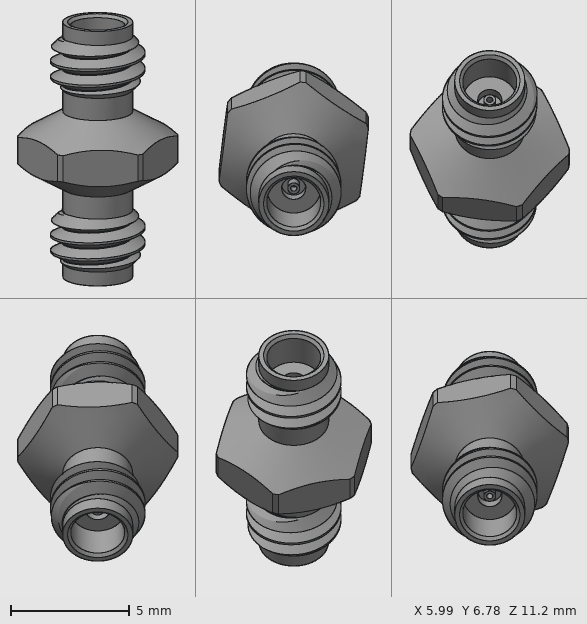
import cadquery as cq
import math

length = 11.18
barrel_radius = 1.481

hex_across_flats = 5.99
hex_corner_radius = 3.39
collar_half_length = 1.68
shoulder_angle = math.radians(30)

thread_pitch = 0.7
thread_crest_radius = 2.0
thread_root_radius = 1.45
thread_crest_width = 0.1
thread_root_width = 0.98 * thread_pitch
thread_length = 2.33
thread_offset = 3.81
thread_turns = 5

socket_radius = 1.14
socket_mouth_chamfer = 0.13
socket_depth = 1.57
contact_recess_diameter = 1.02
contact_diameter = 0.5
contact_hole_diameter = 0.26
contact_depth = 0.45


def revolve_profile(points):
    """Revolve a closed (radius, z) outline about the Z axis."""
    return cq.Workplane("XZ").polyline(points).close().revolve(360, (0, 0), (0, 1))


def make_collar():
    hex_across_corners = hex_across_flats / math.cos(math.radians(30))
    prism = (
        cq.Workplane("XY")
        .polygon(6, hex_across_corners)
        .extrude(collar_half_length, both=True)
        .rotate((0, 0, 0), (0, 0, 1), 30)
    )
    shoulder_drop = (hex_corner_radius - barrel_radius) * math.tan(shoulder_angle)
    corner_z = collar_half_length - shoulder_drop
    envelope = revolve_profile([
        (0, -collar_half_length),
        (barrel_radius, -collar_half_length),
        (hex_corner_radius, -corner_z),
        (hex_corner_radius, corner_z),
        (barrel_radius, collar_half_length),
        (0, collar_half_length),
    ])
    return prism.intersect(envelope)


def make_thread():
    """Right-hand ridge centred on z = 0, its ends cut by 45-degree cones."""
    helix_height = thread_turns * thread_pitch
    helix = cq.Wire.makeHelix(thread_pitch, helix_height, thread_root_radius)
    ridge = (
        cq.Workplane("XZ")
        .polyline([
            (thread_root_radius, -thread_root_width / 2),
            (thread_crest_radius, -thread_crest_width / 2),
            (thread_crest_radius, thread_crest_width / 2),
            (thread_root_radius, thread_root_width / 2),
        ])
        .close()
        .sweep(cq.Workplane(obj=helix), isFrenet=True)
        .translate((0, 0, -helix_height / 2))
    )
    half_length = thread_length / 2
    envelope_radius = thread_crest_radius + 0.11
    cone_end_z = half_length - (envelope_radius - barrel_radius)
    envelope = revolve_profile([
        (0, -half_length),
        (barrel_radius, -half_length),
        (envelope_radius, -cone_end_z),
        (envelope_radius, cone_end_z),
        (barrel_radius, half_length),
        (0, half_length),
    ])
    return ridge.intersect(envelope)


def make_socket():
    """Cutting body for the socket in the +Z end."""
    top = length / 2
    floor = top - socket_depth
    mouth_radius = socket_radius + socket_mouth_chamfer
    bore = revolve_profile([
        (0, floor),
        (socket_radius, floor),
        (socket_radius, top - socket_mouth_chamfer),
        (mouth_radius, top),
        (0, top),
    ])
    contact_area = cq.Workplane("XY").workplane(offset=floor)
    recess = (
        contact_area.circle(contact_recess_diameter / 2)
        .circle(contact_diameter / 2)
        .extrude(-contact_depth)
    )
    hole = contact_area.circle(contact_hole_diameter / 2).extrude(-contact_depth)
    return bore.union(recess).union(hole)


barrel = cq.Workplane("XY").circle(barrel_radius).extrude(length / 2, both=True)
body = barrel.union(make_collar())

thread = make_thread()
for end in (1, -1):
    body = body.union(thread.translate((0, 0, end * thread_offset)))

socket = make_socket()
result = body.cut(socket).cut(socket.mirror("XY"))